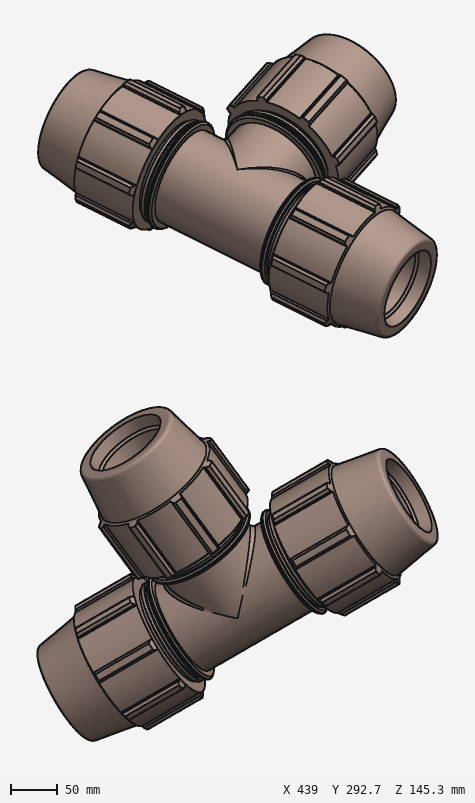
import cadquery as cq
import math

arm_length = 219.5
branch_extra = 0.5
pipe_radius = 55.0
bore_radius = 81.0 / 2

socket_radius = 90.0 / 2
socket_floor_radius = 44.0
socket_depth = 15.0
socket_cone = 2.5

nose_length = 55.0
nose_tip_radius = 59.0
nose_mid_radius = 63.0
nose_base_radius = 68.0
nose_round = 4.0

grip_length = 77.0
grip_radius = 71.0
rib_count = 8
rib_width = 12.7
rib_top_width = 8.0
rib_shoulder_radius = 73.5
rib_top_radius = 77.0
rib_outer_taper = 4.0
rib_inner_taper = 4.0

neck_radius = 115.5 / 2
ring_radius = 121.0 / 2
ring_gap = 4.0
ring_width = 4.0
flange_radius = 127.0 / 2
flange_gap = 4.0
flange_width = 6.0
flange_bevel = 2.0

crotch_leg = 4.0

nose_base = arm_length - nose_length
grip_end = nose_base - grip_length
ring_end = grip_end - ring_gap
ring_start = ring_end - ring_width
flange_end = ring_start - flange_gap
flange_start = flange_end - flange_width


def disc(radius, start, end):
    """Solid cylinder on the arm axis between two stations."""
    return cq.Workplane("XY").workplane(offset=start).circle(radius).extrude(end - start)


def nose():
    """Very slightly waisted cone with a rounded tip."""
    middle = nose_base + nose_length / 2
    profile = (
        cq.Workplane("XZ")
        .moveTo(0, nose_base)
        .lineTo(nose_base_radius, nose_base)
        .threePointArc((nose_mid_radius, middle), (nose_tip_radius, arm_length))
        .lineTo(0, arm_length)
        .close()
    )
    return profile.revolve(360, (0, 0), (0, 1)).faces(">Z").edges().fillet(nose_round)


def grip(inner_taper):
    """Ribbed cylinder, coned at the nose end, its ribs sloped by inner_taper at the pipe end."""
    crest = math.hypot(rib_top_radius, rib_top_width / 2)
    blank = disc(grip_radius, grip_end, nose_base)
    for index in range(rib_count):
        angle = (index + 0.5) * 360 / rib_count
        blank = blank.union(rib().rotate((0, 0, 0), (0, 0, 1), angle))
    envelope = (
        cq.Workplane("XZ")
        .moveTo(0, grip_end)
        .lineTo(grip_radius, grip_end)
        .lineTo(crest, grip_end + inner_taper)
        .lineTo(crest, nose_base - rib_outer_taper)
        .lineTo(nose_base_radius, nose_base)
        .lineTo(0, nose_base)
        .close()
        .revolve(360, (0, 0), (0, 1))
    )
    return blank.intersect(envelope)


def rib():
    """Rib with bevelled corners along the grip, centred on the X axis and rooted inside the grip."""
    outline = [
        (nose_base_radius, -rib_width / 2),
        (rib_shoulder_radius, -rib_width / 2),
        (rib_top_radius, -rib_top_width / 2),
        (rib_top_radius, rib_top_width / 2),
        (rib_shoulder_radius, rib_width / 2),
        (nose_base_radius, rib_width / 2),
    ]
    return cq.Workplane("XY").workplane(offset=grip_end).polyline(outline).close().extrude(grip_length)


def flange():
    """Stop flange with both rim edges bevelled."""
    return disc(flange_radius, flange_start, flange_end).edges().chamfer(flange_bevel)


def fitting(inner_taper):
    """Nut, ring and flange of one arm, pointing along +Z."""
    return (
        nose()
        .union(grip(inner_taper))
        .union(disc(neck_radius, flange_start, grip_end))
        .union(disc(ring_radius, ring_start, ring_end))
        .union(flange())
    )


def bore():
    """Cutter for the pipe bore, the tapered socket and the cone joining them, pointing along +Z."""
    profile = (
        cq.Workplane("XZ")
        .lineTo(bore_radius, 0)
        .lineTo(bore_radius, arm_length - socket_depth - socket_cone)
        .lineTo(socket_floor_radius, arm_length - socket_depth)
        .lineTo(socket_radius, arm_length)
        .lineTo(0, arm_length)
        .close()
    )
    return profile.revolve(360, (0, 0), (0, 1))


def to_right(solid):
    """Turn a +Z arm to +X."""
    return solid.rotate((0, 0, 0), (0, 1, 0), 90)


def to_left(solid):
    """Turn a +Z arm to -X."""
    return solid.rotate((0, 0, 0), (0, 1, 0), -90)


def to_branch(solid):
    """Turn a +Z arm to +Y and set it out to the branch length."""
    return solid.rotate((0, 0, 0), (1, 0, 0), -90).translate((0, branch_extra, 0))


def crotch_web(side):
    """Sloped fill in one crotch, widest at mid height and fading out at the top and bottom of the pipes."""
    reach = (2 * pipe_radius + crotch_leg) / math.sqrt(2)
    across = cq.Plane(origin=(0, 0, 0), xDir=(side, 1, 0), normal=(1, -side, 0))
    web = cq.Workplane(across).ellipse(reach, pipe_radius).extrude(2 * pipe_radius, both=True)
    quadrant = cq.Workplane("XY").box(
        2 * pipe_radius, 2 * pipe_radius, 2 * pipe_radius, centered=(False, False, True)
    )
    if side < 0:
        quadrant = quadrant.mirror("YZ")
    return web.intersect(quadrant)


def pipes():
    """Equal run and branch pipes with both crotches filled."""
    run = cq.Workplane("YZ").circle(pipe_radius).extrude(flange_start, both=True)
    branch = cq.Workplane("XZ").circle(pipe_radius).extrude(-flange_start - branch_extra)
    return run.union(branch).union(crotch_web(1)).union(crotch_web(-1))


run_fitting = fitting(rib_inner_taper)
branch_fitting = fitting(inner_taper=0)
result = pipes().union(to_right(run_fitting)).union(to_left(run_fitting)).union(to_branch(branch_fitting))
for turn in (to_right, to_left, to_branch):
    result = result.cut(turn(bore()))